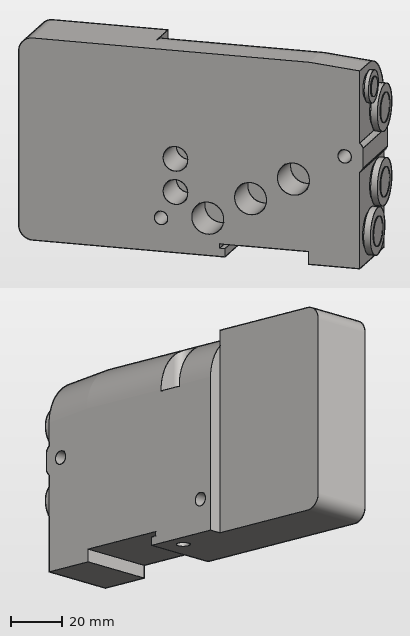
import cadquery as cq

height = 82.0
body_length = 139.2
base_depth = 26.6
full_depth = 32.0
corner_radius = 5.7

cover_start_x = 52.7
cover_round_radius = 20.0
slope_start_x = 118.9
slope_end_z = 80.3

notch_left_x = 82.0
notch_right_x = 118.3
notch_height = 5.2
lip_width = 2.1
lip_height = 3.5

screw_diameter = 5.5
upper_screw = (133.0, 45.1)
lower_screw = (58.1, 13.6)
small_port_diameter = 10.0
small_ports = [(64.0, 38.1), (64.0, 24.6)]
large_port_diameter = 13.0
large_ports = [(77.2, 15.2), (94.7, 24.6), (112.1, 34.1)]
port_depth = 17.2

lug_radius = 8.6
lug_end_x = 140.6

seat_x = 74.3
seat_y = 24.5
seat_width = 9.7
seat_floor_z = 61.6

collar_start_x = 140.2
small_collar_end_x = 141.9
small_nose_length = 0.5
small_stem_diameter = 10.0
small_collar_diameter = 13.0
small_nose_diameter = 8.0
small_fitting_center = (9.2, 71.7)

overall_length = 143.2
large_nose_length = 0.3
large_collar_end_x = overall_length - large_nose_length
large_stem_diameter = 15.5
large_collar_diameter = 19.0
large_nose_diameter = 12.0
large_fitting_centers = [(20.6, 60.1), (20.6, 30.0), (11.5, 12.5)]


def extrude_back(sketch, depth):
    """Extrude an XZ sketch from the front face (Y = 0) toward +Y."""
    return sketch.extrude(-depth)


def front_cylinder(x, z, diameter, depth):
    return extrude_back(cq.Workplane("XZ").center(x, z).circle(diameter / 2), depth)


def make_base():
    """Left-hand block with rounded left corners."""
    block = cq.Workplane("XY").box(cover_start_x, base_depth, height, centered=False)
    return block.edges("|Y and <X").fillet(corner_radius)


def cover_profile(x, top_z):
    """YZ section of the cover, with its upper back corner rounded."""
    return (
        cq.Workplane("YZ", origin=(x, 0, 0))
        .lineTo(full_depth, 0)
        .lineTo(full_depth, top_z - cover_round_radius)
        .radiusArc((full_depth - cover_round_radius, top_z), -cover_round_radius)
        .lineTo(0, top_z)
        .close()
    )


def make_cover_block():
    """Deeper right-hand block whose rounded top slopes down toward the end face."""
    level_part = cover_profile(cover_start_x, height).extrude(slope_start_x - cover_start_x)
    start_wire = cover_profile(slope_start_x, height).val()
    end_wire = cover_profile(body_length, slope_end_z).val()
    sloping_part = cq.Workplane(cq.Solid.makeLoft([start_wire, end_wire], True))
    return level_part.union(sloping_part)


def make_lug():
    x, z = upper_screw
    disc = front_cylinder(x, z, 2 * lug_radius, full_depth)
    flat_length = lug_end_x - x
    keep = cq.Workplane("XY").box(flat_length, full_depth, 2 * lug_radius, centered=False)
    return disc.intersect(keep.translate((x, 0, z - lug_radius)))


def make_notch():
    outline = (
        cq.Workplane("XZ")
        .moveTo(notch_left_x + lip_width, 0)
        .lineTo(notch_left_x + lip_width, lip_height)
        .lineTo(notch_left_x, lip_height)
        .lineTo(notch_left_x, notch_height)
        .lineTo(notch_right_x, notch_height)
        .lineTo(notch_right_x, 0)
        .close()
    )
    return extrude_back(outline, full_depth)


def make_seat():
    """U-shaped pocket above the vertical screw hole, together with that hole."""
    hole = cq.Workplane("XY").center(seat_x, seat_y).circle(screw_diameter / 2).extrude(height)
    floor = cq.Workplane("XY", origin=(seat_x, seat_y, seat_floor_z))
    seat_height = height - seat_floor_z
    round_end = floor.circle(seat_width / 2).extrude(seat_height)
    open_length = full_depth - seat_y
    open_end = floor.center(0, open_length / 2).rect(seat_width, open_length).extrude(seat_height)
    return hole.union(round_end).union(open_end)


def make_disc(center, diameter, start_x, end_x):
    """Cylinder along X between two X positions."""
    y, z = center
    return cq.Workplane("YZ", origin=(start_x, y, z)).circle(diameter / 2).extrude(end_x - start_x)


def make_small_fitting(center):
    stem = make_disc(center, small_stem_diameter, body_length, collar_start_x)
    collar = make_disc(center, small_collar_diameter, collar_start_x, small_collar_end_x)
    nose_end_x = small_collar_end_x + small_nose_length
    nose = make_disc(center, small_nose_diameter, small_collar_end_x, nose_end_x)
    return stem.union(collar).union(nose)


def make_large_fitting(center):
    stem = make_disc(center, large_stem_diameter, body_length, collar_start_x)
    collar = make_disc(center, large_collar_diameter, collar_start_x, large_collar_end_x)
    nose = make_disc(center, large_nose_diameter, large_collar_end_x, overall_length)
    return stem.union(collar).union(nose)


result = make_base().union(make_cover_block()).union(make_lug())
result = result.cut(make_notch()).cut(make_seat())

for x, z in [upper_screw, lower_screw]:
    result = result.cut(front_cylinder(x, z, screw_diameter, full_depth))
for x, z in small_ports:
    result = result.cut(front_cylinder(x, z, small_port_diameter, port_depth))
for x, z in large_ports:
    result = result.cut(front_cylinder(x, z, large_port_diameter, port_depth))

result = result.union(make_small_fitting(small_fitting_center))
for center in large_fitting_centers:
    result = result.union(make_large_fitting(center))